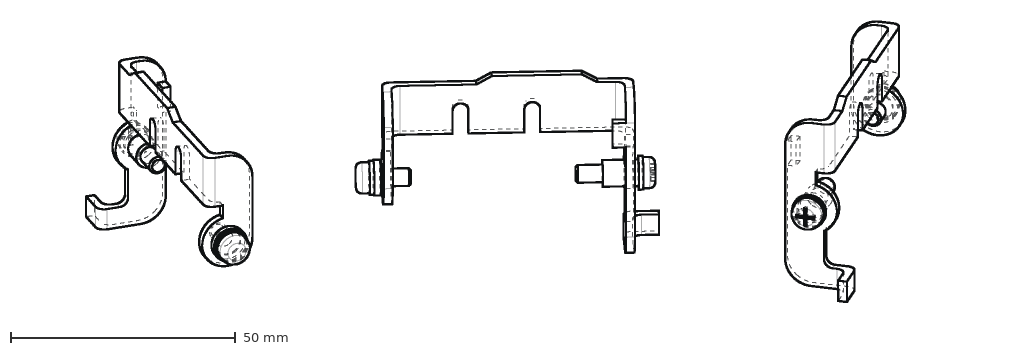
import cadquery as cq
import math


sheet = 2.0
bend_radius = 2.0
width = 56.0
back_y = 11.0
plate_top_z = 40.0
back_corner_radius = 6.0

web_bottom_z = 28.0
crest_height = 2.0
crest_start_x = 8.0
crest_end_x = 35.0
crest_ramp_angle = 30.0
crest_ramp = crest_height / math.tan(math.radians(crest_ramp_angle))
slot_width = 3.5
slot_height = 7.4
slot_centers_x = (22.5, 38.5)

screw_y = 5.0
screw_z = 19.0
eye_radius = 6.0
notch_y = 4.0
inner_x = width - sheet

foot_height = 5.0
foot_reach = 6.0
foot_front_y = -5.0
foot_corner_radius = 2.0
back_tab_length = 3.0
back_tab_top_z = plate_top_z - back_corner_radius

shank_diameter = 4.0
shank_chamfer = 0.5
collar_diameter = 6.0
head_diameter = 7.0
spring_washer_diameter = 7.6
flat_washer_diameter = 8.0
head_round = 1.35

left_neck = 1.0
left_washer = 1.0
left_head = 2.75
left_spacer = 5.0
left_shank = 6.0

right_neck = 0.5
right_flat_washer = 1.5
right_spring_washer = 1.0
right_head = 3.0
right_shank = 4.3

recess_length = 4.2
recess_width = 0.6
recess_depth = 1.0


def extrude_along_x(outline, start_x, length):
    """Extrude a closed (Y, Z) outline along +X from start_x."""
    return outline.extrude(length).translate((start_x, 0, 0))


def side_plate_eye(start_x):
    eye = cq.Workplane("YZ").center(screw_y, screw_z).circle(eye_radius)
    return extrude_along_x(eye, start_x, sheet)


def left_plate():
    outline = (
        cq.Workplane("YZ")
        .moveTo(sheet, plate_top_z)
        .lineTo(back_y - back_corner_radius, plate_top_z)
        .radiusArc((back_y, plate_top_z - back_corner_radius), back_corner_radius)
        .lineTo(back_y, back_corner_radius)
        .radiusArc((back_y - back_corner_radius, 0), back_corner_radius)
        .lineTo(foot_front_y + sheet + bend_radius, 0)
        .lineTo(foot_front_y + sheet + bend_radius, foot_height)
        .lineTo(sheet - foot_corner_radius, foot_height)
        .radiusArc((sheet, foot_height + foot_corner_radius), -foot_corner_radius)
        .lineTo(sheet, screw_z)
        .lineTo(notch_y, screw_z)
        .lineTo(notch_y, web_bottom_z)
        .lineTo(sheet, web_bottom_z)
        .close()
    )
    return extrude_along_x(outline, 0, sheet).union(side_plate_eye(0))


def right_plate():
    outline = (
        cq.Workplane("YZ")
        .moveTo(sheet, plate_top_z)
        .lineTo(back_y - back_corner_radius, plate_top_z)
        .radiusArc((back_y, plate_top_z - back_corner_radius), back_corner_radius)
        .lineTo(back_y, screw_z)
        .lineTo(notch_y, screw_z)
        .lineTo(notch_y, web_bottom_z)
        .lineTo(sheet, web_bottom_z)
        .close()
    )
    return extrude_along_x(outline, inner_x, sheet).union(side_plate_eye(inner_x))


def front_web():
    """Web with its two bends, the raised crest and the slots open at the bottom."""
    bend_end_y = sheet + bend_radius
    web = (
        cq.Workplane("XY", origin=(0, 0, web_bottom_z))
        .moveTo(0, bend_end_y)
        .lineTo(0, bend_radius)
        .radiusArc((bend_radius, 0), -bend_radius)
        .lineTo(width - bend_radius, 0)
        .radiusArc((width, bend_radius), -bend_radius)
        .lineTo(width, bend_end_y)
        .lineTo(inner_x, bend_end_y)
        .radiusArc((inner_x - bend_radius, sheet), bend_radius)
        .lineTo(sheet + bend_radius, sheet)
        .radiusArc((sheet, bend_end_y), bend_radius)
        .close()
        .extrude(plate_top_z - web_bottom_z)
    )
    crest_top_z = plate_top_z + crest_height
    crest = (
        cq.Workplane("XZ")
        .moveTo(crest_start_x, plate_top_z)
        .lineTo(crest_start_x + crest_ramp, crest_top_z)
        .lineTo(crest_end_x - crest_ramp, crest_top_z)
        .lineTo(crest_end_x, plate_top_z)
        .close()
        .extrude(-sheet)
    )
    web = web.union(crest)
    for center_x in slot_centers_x:
        web = web.cut(web_slot(center_x))
    return web


def web_slot(center_x):
    half_width = slot_width / 2
    shoulder_z = web_bottom_z + slot_height - half_width
    return (
        cq.Workplane("XZ")
        .moveTo(center_x - half_width, web_bottom_z)
        .lineTo(center_x - half_width, shoulder_z)
        .radiusArc((center_x + half_width, shoulder_z), half_width)
        .lineTo(center_x + half_width, web_bottom_z)
        .close()
        .extrude(-sheet)
    )


def left_foot():
    """Foot bent outward from the lower front end of the left plate."""
    foot_back_y = foot_front_y + sheet
    bend_start_y = foot_back_y + bend_radius
    return (
        cq.Workplane("XY")
        .moveTo(sheet, bend_start_y)
        .lineTo(sheet, foot_front_y + bend_radius)
        .radiusArc((sheet - bend_radius, foot_front_y), bend_radius)
        .lineTo(-foot_reach, foot_front_y)
        .lineTo(-foot_reach, foot_back_y)
        .lineTo(-bend_radius, foot_back_y)
        .radiusArc((0, bend_start_y), -bend_radius)
        .close()
        .extrude(foot_height)
    )


def back_tab():
    """Short tab on the inside of the left plate, along its back edge."""
    size = (back_tab_length, sheet, back_tab_top_z - web_bottom_z)
    corner = (sheet, back_y - sheet, web_bottom_z)
    return cq.Workplane("XY").box(*size, centered=False).translate(corner)


def disc(start_x, length, diameter):
    """Cylinder on the screw axis, running along +X from start_x."""
    outline = cq.Workplane("YZ").center(screw_y, screw_z).circle(diameter / 2)
    return extrude_along_x(outline, start_x, length)


def left_screw():
    washer_x = -left_neck - left_washer
    head_x = washer_x - left_head
    spacer_end_x = sheet + left_spacer
    head = disc(head_x, left_head, head_diameter).faces("<X").edges().fillet(head_round)
    for size_y, size_z in ((recess_length, recess_width), (recess_width, recess_length)):
        arm = cq.Workplane("YZ").center(screw_y, screw_z).rect(size_y, size_z)
        head = head.cut(extrude_along_x(arm, head_x, recess_depth))
    washer = disc(washer_x, left_washer, spring_washer_diameter)
    collar = disc(-left_neck, left_neck + spacer_end_x, collar_diameter)
    shank = disc(spacer_end_x, left_shank, shank_diameter).faces(">X").chamfer(shank_chamfer)
    return head.union(washer).union(collar).union(shank)


def right_screw():
    flat_washer_x = width + right_neck
    spring_washer_x = flat_washer_x + right_flat_washer
    head_x = spring_washer_x + right_spring_washer
    shank = disc(inner_x - right_shank, right_shank, shank_diameter).faces("<X").chamfer(shank_chamfer)
    neck = disc(inner_x, sheet + right_neck, collar_diameter)
    flat_washer = disc(flat_washer_x, right_flat_washer, flat_washer_diameter)
    spring_washer = disc(spring_washer_x, right_spring_washer, spring_washer_diameter)
    head = disc(head_x, right_head, head_diameter).faces(">X").edges().fillet(head_round)
    return shank.union(neck).union(flat_washer).union(spring_washer).union(head)


bracket = left_plate().union(right_plate()).union(front_web()).union(left_foot()).union(back_tab())
result = bracket.union(left_screw()).union(right_screw())